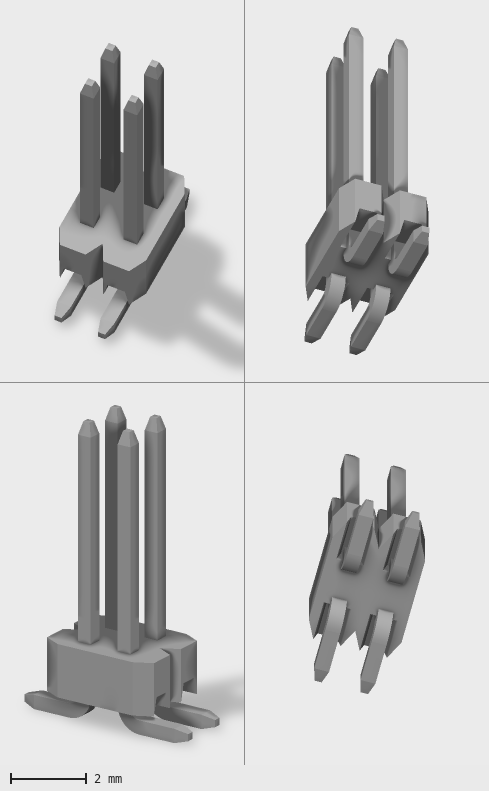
import cadquery as cq


body_width = 2.54
foot_span = 5.25
total_height = 8.45

columns = 2
pitch = body_width / columns
row_offset = pitch / 2
column_centers = [(i - (columns - 1) / 2) * pitch for i in range(columns)]

body_length = 3.43
body_height = 1.51
end_face_width = 0.75
end_taper_length = 0.515

pin_size = 0.405
tip_size = pin_size / 2
tip_length = 0.37
bend_inner_radius = 0.29
bend_outer_radius = bend_inner_radius + pin_size
body_bottom = bend_outer_radius

notch_height = 0.51
notch_top_width = 0.51
notch_depth = body_length / 2 - row_offset


def body_segment(center_x):
    """One column of the body: an eight-sided block with tapered ends."""
    half_width = pitch / 2
    half_face = end_face_width / 2
    half_length = body_length / 2
    shoulder = half_length - end_taper_length
    outline = [
        (-half_face, -half_length),
        (half_face, -half_length),
        (half_width, -shoulder),
        (half_width, shoulder),
        (half_face, half_length),
        (-half_face, half_length),
        (-half_width, shoulder),
        (-half_width, -shoulder),
    ]
    return (
        cq.Workplane("XY")
        .workplane(offset=body_bottom)
        .center(center_x, 0)
        .polyline(outline)
        .close()
        .extrude(body_height)
    )


def relief_notch(center_x):
    """Trapezoidal pocket in the -Y end face, reaching in to the pin axis."""
    notch_top = body_bottom + notch_height
    profile = [
        (center_x - end_face_width / 2, body_bottom),
        (center_x + end_face_width / 2, body_bottom),
        (center_x + notch_top_width / 2, notch_top),
        (center_x - notch_top_width / 2, notch_top),
    ]
    return (
        cq.Workplane("XZ", origin=(0, -row_offset, 0))
        .polyline(profile)
        .close()
        .extrude(notch_depth)
    )


def tapered_tip(base_plane):
    """Truncated pyramid that finishes a pin end."""
    return (
        cq.Workplane(base_plane)
        .rect(pin_size, pin_size)
        .workplane(offset=tip_length)
        .rect(tip_size, tip_size)
        .loft(combine=True)
    )


def bent_pin(center_x):
    """Upright pin in the -Y row whose lower end bends outward into a foot."""
    inner_y = -row_offset + pin_size / 2
    outer_y = -row_offset - pin_size / 2
    bend_center_y = outer_y - bend_inner_radius
    shaft_top = total_height - tip_length
    foot_end_y = -foot_span / 2 + tip_length

    shank = (
        cq.Workplane("YZ", origin=(center_x, 0, 0))
        .moveTo(inner_y, shaft_top)
        .lineTo(inner_y, bend_outer_radius)
        .radiusArc((bend_center_y, 0), bend_outer_radius)
        .lineTo(foot_end_y, 0)
        .lineTo(foot_end_y, pin_size)
        .lineTo(bend_center_y, pin_size)
        .radiusArc((outer_y, bend_outer_radius), -bend_inner_radius)
        .lineTo(outer_y, shaft_top)
        .close()
        .extrude(pin_size / 2, both=True)
    )
    top_plane = cq.Plane(origin=(center_x, -row_offset, shaft_top))
    foot_plane = cq.Plane(
        origin=(center_x, foot_end_y, pin_size / 2), xDir=(1, 0, 0), normal=(0, -1, 0)
    )
    return shank.union(tapered_tip(top_plane)).union(tapered_tip(foot_plane))


def both_rows(shape):
    """The -Y row shape together with its mirror image in the +Y row."""
    return shape.union(shape.mirror("XZ"))


result = cq.Workplane("XY")
for column_x in column_centers:
    result = result.union(body_segment(column_x))

for column_x in column_centers:
    result = result.cut(both_rows(relief_notch(column_x)))

for column_x in column_centers:
    result = result.union(both_rows(bent_pin(column_x)))